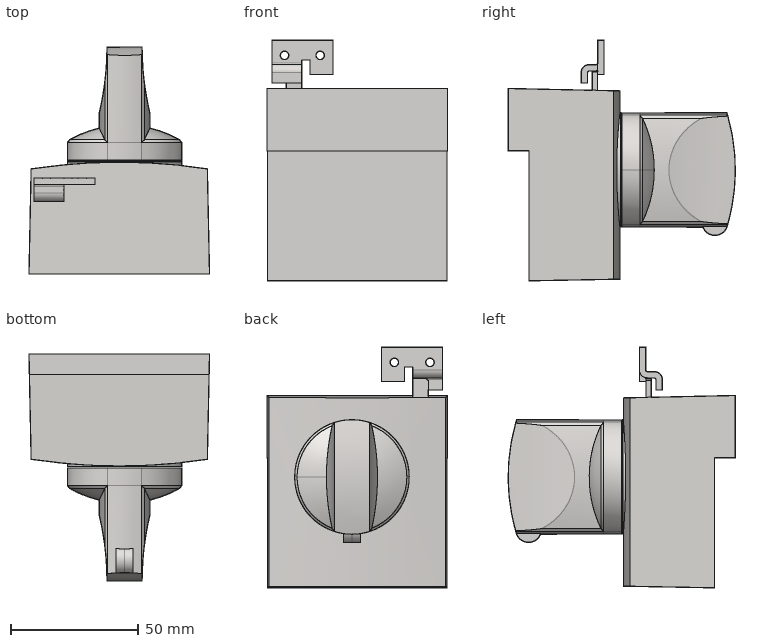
import cadquery as cq
import math

back_half_width = 71.0 / 2
front_half_width = 69.3 / 2
side_depth = 41.4
front_depth = 43.95
housing_height = 75.6
step_depth = 8.1
step_height = 51.0
draft_drop = 0.9
draft_rise = 0.7

knob_x = 2.1
knob_z = 43.6
knob_radius = 22.5
collar_front = 44.2
knob_back = 44.7
rim_front = 51.7
dome_start = 52.8
dome_start_radius = knob_radius - 0.9
dome_sphere_radius = 43.5

grip_half_width = 10.0
grip_end_half_width = 7.75
grip_end_height = 20.2
grip_corner_half_width = 6.6
grip_front = 89.2
grip_front_edge = 85.9
scoop_start = 63.1
scoop_mid_y = 75.05
scoop_mid_half_width = 7.8
grip_front_half_width = 6.9
pointer_radius = 5.0
pointer_half_width = 3.3
pointer_y = 81.2
pointer_drop = 20.7

bracket_left = -33.6
bracket_right = -9.45
bracket_top = 94.5
sheet = 2.55
plate_front = 37.7
leg_back = 28.6
leg_right = -21.7
leg_bottom = 77.7
shelf_top = 85.0
bend_inner = 0.7
bend_outer = bend_inner + sheet
notch_right = -18.6
notch_top = 86.7
plate_bottom = 81.0
hole_diameter = 3.2
hole_z = 88.6
hole_xs = (-28.5, -14.6)

post_left = -27.9
post_front = plate_front - sheet
post_thickness = 2.2
post_top = shelf_top - sheet - 0.2
post_chamfer = 0.85
post_root = 66.2


def box_between(x0, x1, y0, y1, z0, z1):
    return cq.Workplane("XY").box(x1 - x0, y1 - y0, z1 - z0, centered=False).translate((x0, y0, z0))


def disc_along_y(radius, y0, y1):
    """Cylinder on the knob axis from y0 to y1."""
    return cq.Workplane(cq.Solid.makeCylinder(
        radius, y1 - y0, cq.Vector(knob_x, y0, knob_z), cq.Vector(0, 1, 0)))


def make_post():
    post = box_between(post_left, leg_right, post_front - post_thickness, post_front, post_root, post_top)
    return post.faces(">Z").edges("<X").chamfer(post_chamfer)


def make_housing():
    plan = (
        cq.Workplane("XY")
        .moveTo(-back_half_width, 0)
        .lineTo(-front_half_width, side_depth)
        .threePointArc((0, front_depth), (front_half_width, side_depth))
        .lineTo(back_half_width, 0)
        .close()
        .extrude(housing_height)
    )
    side = (
        cq.Workplane("YZ")
        .polyline([
            (0, housing_height),
            (0, step_height),
            (step_depth, step_height),
            (step_depth, 0),
            (front_depth, draft_rise),
            (front_depth, housing_height - draft_drop),
        ])
        .close()
        .extrude(back_half_width, both=True)
    )
    collar = disc_along_y(knob_radius, step_depth, collar_front)
    return plan.intersect(side).union(collar).union(make_post())


def make_knob_base():
    """Rim, bevel and shallow dome, revolved about the knob axis."""
    sphere_y = dome_start - math.sqrt(dome_sphere_radius**2 - dome_start_radius**2)
    mid_radius = dome_start_radius / 2
    mid_y = sphere_y + math.sqrt(dome_sphere_radius**2 - mid_radius**2)
    return (
        cq.Workplane("XY")
        .moveTo(0, knob_back)
        .lineTo(knob_radius, knob_back)
        .lineTo(knob_radius, rim_front)
        .lineTo(dome_start_radius, dome_start)
        .threePointArc((mid_radius, mid_y), (0, sphere_y + dome_sphere_radius))
        .close()
        .revolve(360, (0, 0), (0, 1))
        .translate((knob_x, 0, knob_z))
    )


def make_grip():
    corner_height = math.sqrt(knob_radius**2 - grip_corner_half_width**2)
    section = (
        cq.Workplane("XZ")
        .moveTo(-grip_end_half_width, -grip_end_height)
        .threePointArc((-grip_half_width, 0), (-grip_end_half_width, grip_end_height))
        .lineTo(-grip_corner_half_width, corner_height)
        .threePointArc((0, knob_radius), (grip_corner_half_width, corner_height))
        .lineTo(grip_end_half_width, grip_end_height)
        .threePointArc((grip_half_width, 0), (grip_end_half_width, -grip_end_height))
        .lineTo(grip_corner_half_width, -corner_height)
        .threePointArc((0, -knob_radius), (-grip_corner_half_width, -corner_height))
        .close()
        .extrude(-grip_front)
    )
    scooped = (
        cq.Workplane("XY")
        .moveTo(-grip_half_width, knob_back)
        .lineTo(-grip_half_width, scoop_start)
        .threePointArc((-scoop_mid_half_width, scoop_mid_y), (-grip_front_half_width, grip_front))
        .lineTo(grip_front_half_width, grip_front)
        .threePointArc((scoop_mid_half_width, scoop_mid_y), (grip_half_width, scoop_start))
        .lineTo(grip_half_width, knob_back)
        .close()
        .extrude(knob_radius, both=True)
    )
    bowed = (
        cq.Workplane("YZ")
        .moveTo(knob_back, -knob_radius)
        .lineTo(grip_front_edge, -knob_radius)
        .threePointArc((grip_front, 0), (grip_front_edge, knob_radius))
        .lineTo(knob_back, knob_radius)
        .close()
        .extrude(grip_half_width, both=True)
    )
    return section.intersect(scooped).intersect(bowed).translate((knob_x, 0, knob_z))


def make_knob():
    pointer = (
        cq.Workplane("YZ")
        .circle(pointer_radius)
        .extrude(pointer_half_width, both=True)
        .translate((knob_x, pointer_y, knob_z - pointer_drop))
    )
    return make_knob_base().union(make_grip()).union(pointer)


def make_joggled_leg():
    """Plate, shelf and hanging leg bent from one sheet."""
    shelf_bottom = shelf_top - sheet
    plate_back = plate_front - sheet
    leg_front = leg_back + sheet
    sharp = (
        cq.Workplane("YZ", origin=(bracket_left, 0, 0))
        .polyline([
            (plate_front, bracket_top),
            (plate_front, shelf_bottom),
            (leg_front, shelf_bottom),
            (leg_front, leg_bottom),
            (leg_back, leg_bottom),
            (leg_back, shelf_top),
            (plate_back, shelf_top),
            (plate_back, bracket_top),
        ])
        .close()
        .extrude(leg_right - bracket_left)
    )

    def bend(body, y, z, radius):
        corner = cq.selectors.NearestToPointSelector(((bracket_left + leg_right) / 2, y, z))
        return body.edges("|X").edges(corner).fillet(radius)

    body = bend(sharp, plate_front, shelf_bottom, bend_outer)
    body = bend(body, leg_back, shelf_top, bend_outer)
    body = bend(body, plate_back, shelf_top, bend_inner)
    return bend(body, leg_front, shelf_bottom, bend_inner)


def make_bracket():
    plate_back = plate_front - sheet
    bridge = box_between(leg_right, bracket_right, plate_back, plate_front, notch_top, bracket_top)
    tongue = box_between(notch_right, bracket_right, plate_back, plate_front, plate_bottom, bracket_top)
    bracket = make_joggled_leg().union(bridge).union(tongue)
    for x in hole_xs:
        hole = cq.Solid.makeCylinder(
            hole_diameter / 2, sheet, cq.Vector(x, plate_back, hole_z), cq.Vector(0, 1, 0))
        bracket = bracket.cut(cq.Workplane(hole))
    return bracket


housing = make_housing()
knob = make_knob()
bracket = make_bracket()

result = cq.Compound.makeCompound([housing.solids().val(), knob.solids().val(), bracket.solids().val()])